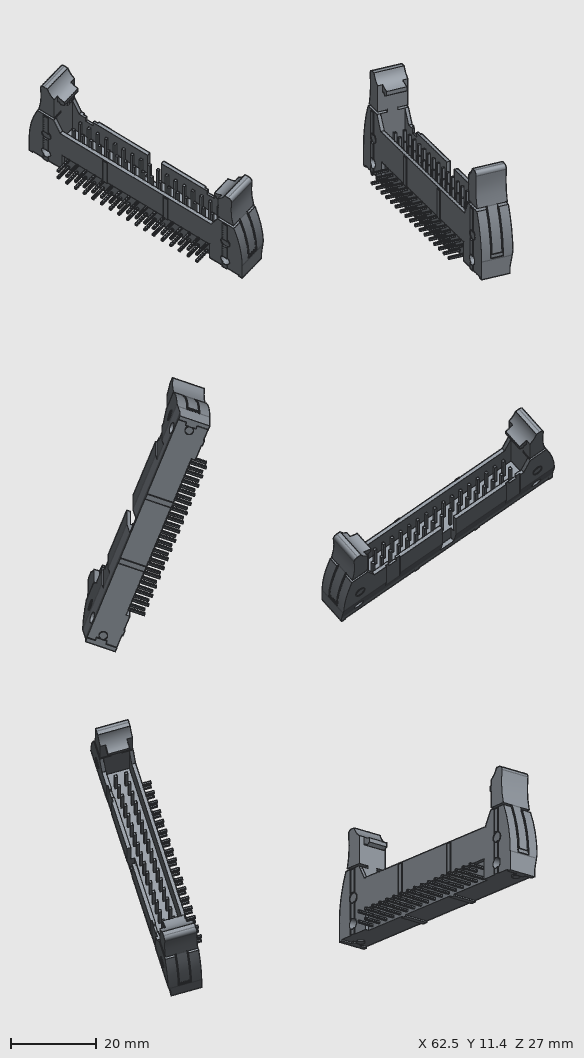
import cadquery as cq
import math

LENGTH = 62.5
HEIGHT = 27.0
TOTAL_DEPTH = 11.4
LEAD_REACH = 3.2
HALF = LENGTH / 2
BODY_DEPTH = TOTAL_DEPTH - LEAD_REACH
MID_Y = BODY_DEPTH / 2

BOTTOM_Z = 0.4
WALL_TOP_Z = 13.4
TOWER_TOP_Z = 16.95
TOWER_INNER_X = 24.05
RAMP_FOOT_X = 22.1
BULGE_START_Z = 4.75
TOWER_LEAN = 2.45
BULGE_RADIUS = ((TOWER_TOP_Z - BULGE_START_Z) ** 2 + TOWER_LEAN ** 2) / (2 * TOWER_LEAN)
WALL = 0.95
FLOOR_Z = 6.5
REAR_INSET = 0.75
INSET_TOP_Z = 1.8
SLOPE_TOP_Z = 5.9

RECESS_LENGTH = 43.25
RECESS_TOP_Z = 5.5
KEYWAY_WIDTH = 4.0
KEYWAY_DEPTH = 1.9
REAR_GROOVE_POSITIONS = (-19.1, 16.45)
REAR_GROOVE_WIDTH = 4.2
REAR_GROOVE_DEPTH = 0.4
REAR_NOTCH_WIDTH = 2.1
REAR_NOTCH_DEPTH = 1.2

RIB_WIDTH = 1.4
RIB_RELIEF = 0.25
RIB_DROP = 0.25
MIDDLE_RIB_X = 8.9
PIVOT_X = 26.25
PIVOT_Z = 9.55
MOUNT_HOLE_Z = 3.05
HOLE_RADIUS = 1.3
PIVOT_SINK = 0.2
FOOT_STRIP = 1.05
FOOT_STEP = 0.8
FOOT_STEP_WIDTH = 2.6
PEG_RADIUS = 1.0
PEG_X = 28.4

SLOT_WIDTH = 3.2
SLOT_DEPTH = 0.25
SLOT_FLOOR_Z = 5.05
NECK_WIDTH = 2.6
NECK_BOTTOM_Z = 6.05
HEAD_BOTTOM_Z = 17.55
HEAD_WIDTH = 7.9
HOOK_WIDTH = 5.25
HEAD_OUTER_X = 28.05
HEAD_WAIST_X = 27.9
HEAD_WAIST_Z = 23.1
HEAD_NOSE_X = 26.0
HEAD_ROUND = 1.05
HOOK_ROOT_Z = 24.5
HOOK_TIP_X = 22.0
HOOK_TIP_TOP_Z = 23.7
HOOK_TIP_LOW_Z = 22.6
HOOK_UNDERSIDE_Z = 22.55
HOOK_BARB_X = 22.95
HOOK_BARB_Z = 22.0

COLUMNS = 17
COLUMN_SPAN = 40.6
PITCH = COLUMN_SPAN / (COLUMNS - 1)
CONTACT = 0.6
LEAD_CHAMFER = 0.1
CONTACT_TOP_Z = 13.3
LEAD_LOW_Z = 1.25
LEAD_HIGH_Z = LEAD_LOW_Z + PITCH


def box(x_min, x_max, y_min, y_max, z_min, z_max):
    size = (x_max - x_min, y_max - y_min, z_max - z_min)
    return cq.Workplane("XY").box(*size, centered=False).translate((x_min, y_min, z_min))


def centered_box(x, width, y_min, y_max, z_min, z_max):
    return box(x - width / 2, x + width / 2, y_min, y_max, z_min, z_max)


def centered_band(x_min, x_max, depth, z_min, z_max):
    """A box centered on the middle of the body depth."""
    return box(x_min, x_max, MID_Y - depth / 2, MID_Y + depth / 2, z_min, z_max)


def cylinder_y(x, z, radius, y_min, y_max):
    plane = cq.Workplane("XZ", origin=(x, y_min, z))
    return plane.circle(radius).extrude(y_min - y_max)


def both_ends(shape):
    """Add the mirrored copy at the +X end."""
    return shape.union(shape.mirror("YZ"))


def bulge_x(z):
    """Distance of the curved end face from the middle at height z."""
    rise = z - BULGE_START_Z
    return HALF - BULGE_RADIUS + math.sqrt(BULGE_RADIUS ** 2 - rise ** 2)


def bulge_point(z, inset=0):
    """Point on the curved -X end face, or moved inward from it by inset."""
    return (inset - bulge_x(z), z)


def extrude_band(outline, width):
    """Extrude an XZ outline symmetrically about the middle of the body depth."""
    return outline.extrude(width / 2, both=True).translate((0, MID_Y, 0))


def make_housing():
    bulge_mid_z = (BULGE_START_Z + TOWER_TOP_Z) / 2
    half_outline = (
        cq.Workplane("XZ")
        .moveTo(0, BOTTOM_Z)
        .lineTo(-HALF, BOTTOM_Z)
        .lineTo(-HALF, BULGE_START_Z)
        .threePointArc(bulge_point(bulge_mid_z), bulge_point(TOWER_TOP_Z))
        .lineTo(-TOWER_INNER_X, TOWER_TOP_Z)
        .lineTo(-RAMP_FOOT_X, WALL_TOP_Z)
        .lineTo(0, WALL_TOP_Z)
        .close()
    )
    body = both_ends(extrude_band(half_outline, BODY_DEPTH))
    cavity = box(-TOWER_INNER_X, TOWER_INNER_X, WALL, BODY_DEPTH - WALL, FLOOR_Z, HEIGHT)
    recess = centered_box(0, RECESS_LENGTH, 0, WALL, BOTTOM_Z, RECESS_TOP_Z)
    return body.union(make_feet()).cut(cavity).cut(recess).cut(make_rear_slope())


def make_feet():
    strip = box(-HALF, -HALF + FOOT_STRIP, 0, BODY_DEPTH, 0, BOTTOM_Z)
    step_end_x = -HALF + FOOT_STRIP + FOOT_STEP
    step = centered_band(-HALF, step_end_x, FOOT_STEP_WIDTH, 0, BOTTOM_Z)
    peg = cq.Workplane("XY").center(-PEG_X, MID_Y).circle(PEG_RADIUS).extrude(BOTTOM_Z)
    feet = both_ends(strip.union(step).union(peg))
    for x in (-MIDDLE_RIB_X, MIDDLE_RIB_X):
        feet = feet.union(centered_box(x, RIB_WIDTH, WALL, BODY_DEPTH, 0, BOTTOM_Z))
    return feet


def make_rear_slope():
    wedge = (
        cq.Workplane("YZ")
        .moveTo(BODY_DEPTH, 0)
        .lineTo(BODY_DEPTH - REAR_INSET, 0)
        .lineTo(BODY_DEPTH - REAR_INSET, INSET_TOP_Z)
        .lineTo(BODY_DEPTH, SLOPE_TOP_Z)
        .close()
    )
    return wedge.extrude(HALF, both=True)


def make_rear_cuts():
    keyway_y = BODY_DEPTH - KEYWAY_DEPTH
    cuts = centered_box(0, KEYWAY_WIDTH, keyway_y, BODY_DEPTH, INSET_TOP_Z, WALL_TOP_Z)
    groove_y = BODY_DEPTH - REAR_GROOVE_DEPTH
    notch_z = WALL_TOP_Z - REAR_NOTCH_DEPTH
    for x in REAR_GROOVE_POSITIONS:
        groove = centered_box(x, REAR_GROOVE_WIDTH, groove_y, BODY_DEPTH, 0, WALL_TOP_Z)
        notch = centered_box(x, REAR_NOTCH_WIDTH, BODY_DEPTH - WALL, BODY_DEPTH, notch_z, WALL_TOP_Z)
        cuts = cuts.union(groove).union(notch)
    return cuts


def make_ribs():
    end_top_z = TOWER_TOP_Z - RIB_DROP
    end_rib = centered_box(-PIVOT_X, RIB_WIDTH, -RIB_RELIEF, 0, BOTTOM_Z, end_top_z)
    middle_top_z = WALL_TOP_Z - RIB_DROP
    middle_rib = centered_box(-MIDDLE_RIB_X, RIB_WIDTH, -RIB_RELIEF, 0, RECESS_TOP_Z, middle_top_z)
    return both_ends(end_rib.union(middle_rib))


def make_end_cuts():
    """Latch slot, pivot bore and mounting hole of each tower."""
    slot_mid_z = (SLOT_FLOOR_Z + TOWER_TOP_Z) / 2
    slot = (
        cq.Workplane("XZ")
        .moveTo(-HALF, SLOT_FLOOR_Z)
        .lineTo(*bulge_point(SLOT_FLOOR_Z, SLOT_DEPTH))
        .threePointArc(bulge_point(slot_mid_z, SLOT_DEPTH), bulge_point(TOWER_TOP_Z, SLOT_DEPTH))
        .lineTo(-HALF, TOWER_TOP_Z)
        .close()
    )
    cuts = extrude_band(slot, SLOT_WIDTH)
    for z in (PIVOT_Z, MOUNT_HOLE_Z):
        cuts = cuts.union(cylinder_y(-PIVOT_X, z, HOLE_RADIUS, -RIB_RELIEF, BODY_DEPTH))
    return both_ends(cuts)


def make_latches():
    neck_mid_z = (NECK_BOTTOM_Z + HEAD_BOTTOM_Z) / 2
    neck = (
        cq.Workplane("XZ")
        .moveTo(-TOWER_INNER_X, NECK_BOTTOM_Z)
        .lineTo(*bulge_point(NECK_BOTTOM_Z))
        .threePointArc(bulge_point(neck_mid_z), bulge_point(HEAD_BOTTOM_Z))
        .lineTo(-TOWER_INNER_X, HEAD_BOTTOM_Z)
        .close()
    )
    hook_back_x = HOOK_BARB_X + HOOK_UNDERSIDE_Z - HOOK_BARB_Z
    head = (
        cq.Workplane("XZ")
        .moveTo(-TOWER_INNER_X, HEAD_BOTTOM_Z)
        .lineTo(*bulge_point(HEAD_BOTTOM_Z))
        .threePointArc((-HEAD_WAIST_X, HEAD_WAIST_Z), (-HEAD_OUTER_X, HEIGHT - HEAD_ROUND))
        .radiusArc((-HEAD_OUTER_X + HEAD_ROUND, HEIGHT), HEAD_ROUND)
        .lineTo(-HEAD_NOSE_X, HEIGHT)
        .threePointArc((-TOWER_INNER_X, HOOK_ROOT_Z), (-HOOK_TIP_X, HOOK_TIP_TOP_Z))
        .lineTo(-HOOK_TIP_X, HOOK_TIP_LOW_Z)
        .lineTo(-HOOK_BARB_X, HOOK_BARB_Z)
        .lineTo(-hook_back_x, HOOK_UNDERSIDE_Z)
        .lineTo(-TOWER_INNER_X, HOOK_UNDERSIDE_Z)
        .close()
    )
    latch = extrude_band(neck, NECK_WIDTH).union(extrude_band(head, HEAD_WIDTH))
    hook_space = box(-TOWER_INNER_X, 0, 0, BODY_DEPTH, HEAD_BOTTOM_Z, HEIGHT)
    hook_band = centered_band(-TOWER_INNER_X, 0, HOOK_WIDTH, HEAD_BOTTOM_Z, HEIGHT)
    latch = latch.cut(hook_space.cut(hook_band))
    pivot = cylinder_y(-PIVOT_X, PIVOT_Z, HOLE_RADIUS, PIVOT_SINK, BODY_DEPTH - PIVOT_SINK)
    return both_ends(latch.union(pivot))


def make_contact(x, post_y, lead_z):
    """An L-shaped contact: an upright post and a lead bent out to the front."""
    half = CONTACT / 2
    post = centered_box(x, CONTACT, post_y - half, post_y + half, lead_z - half, CONTACT_TOP_Z)
    lead = centered_box(x, CONTACT, -LEAD_REACH, post_y, lead_z - half, lead_z + half)
    lead = lead.edges("|Y").chamfer(LEAD_CHAMFER)
    return post.union(lead)


def add_contacts(body):
    contacts = []
    for column in range(COLUMNS):
        x = (column - (COLUMNS - 1) / 2) * PITCH
        contacts.append(make_contact(x, MID_Y - PITCH / 2, LEAD_HIGH_Z).val())
        contacts.append(make_contact(x, MID_Y + PITCH / 2, LEAD_LOW_Z).val())
    return cq.Workplane(body.val().fuse(*contacts))


housing = make_housing().cut(make_rear_cuts()).union(make_ribs()).cut(make_end_cuts())
connector = add_contacts(housing.union(make_latches()))
result = connector.translate((0, LEAD_REACH, 0))